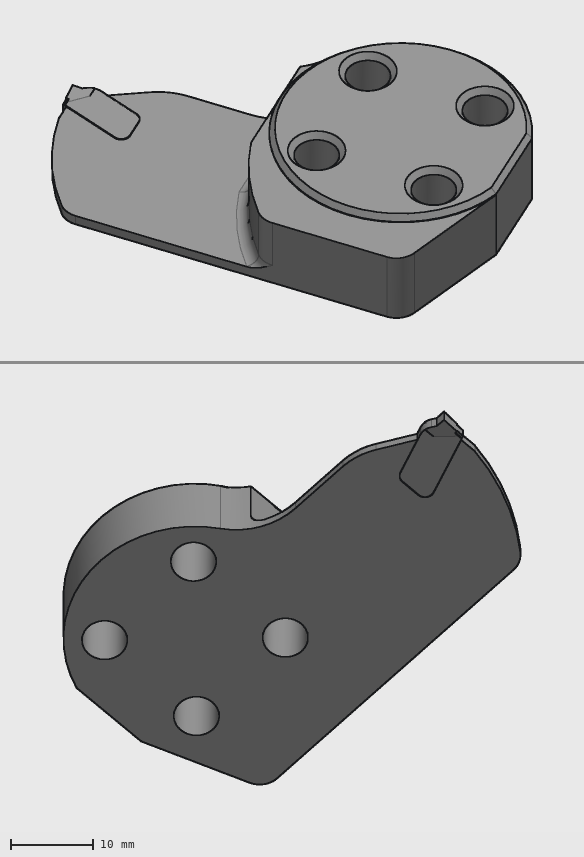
import cadquery as cq
import math


OVERALL_LENGTH = 58.6

BLADE_THICKNESS = 1.4
BLOCK_TOP = 9.9
DISC_TOP = 10.7

DISC_RADIUS = 16.0
DISC_CHAMFER = 0.7
FLANK_ANGLE = math.radians(20)
FLAT_X = DISC_RADIUS * math.cos(FLANK_ANGLE)
FLAT_HALF_LENGTH = DISC_RADIUS * math.sin(FLANK_ANGLE)

HOLE_DIAMETER = 5.5
HOLE_PITCH = 15.5
HOLE_CHAMFER = 0.75
COUNTERSINK_ANGLE = 90

FRONT_Y = -21.0
BACK_Y = 4.15
CORNER_RADIUS = 3.0
NECK_RADIUS = 10.0
SHOULDER_ANGLE = math.radians(30)
SHOULDER_RADIUS = 9.0
SWEEP_RADIUS = 30.0
BLADE_EDGE_X = -42.85
NOSE_TIP_Y = -1.8
NOSE_ARC_START_Y = -5.8
NOSE_CENTER_Y = -0.65
NOSE_CENTER_X = BLADE_EDGE_X + math.sqrt(
    SWEEP_RADIUS**2 - (NOSE_ARC_START_Y - NOSE_CENTER_Y) ** 2
)

BLOCK_FACE_X = -DISC_RADIUS
BLOCK_ARC_START_Y = -8.85
BLOCK_ARC_CENTER_Y = -0.7
BLOCK_ARC_CENTER_X = BLOCK_FACE_X + math.sqrt(
    SWEEP_RADIUS**2 - (BLOCK_ARC_START_Y - BLOCK_ARC_CENTER_Y) ** 2
)
COVE_RADIUS = 1.5
CLEARANCE_MARGIN = 11.7

INSERT_THICKNESS = 1.7
EDGE_WIDTH = 2.0
EDGE_X = FLAT_X - OVERALL_LENGTH
EDGE_Y = 0.05
GROOVE_X = -42.3
HUMP_X = -40.9
HUMP_Y = 0.95
HUMP_RADIUS = 2.0
INSERT_TILT = math.radians(20)
INSERT_END_X = -33.65
INSERT_END_RADIUS = 1.2
NOSE_FOOT_X = -43.35
NOSE_FOOT_Y = -3.35
FOOT_WIDTH = 1.35
FOOT_TOP_Y = -2.3
FOOT_BACK_X = -43.1
HEEL_X = -42.85
HEEL_Y = -3.5
RELIEF_LENGTH = 2.4


def arc_x(center_x, center_y, y):
    """X of the left-hand side of a sweep arc at a given Y."""
    return center_x - math.sqrt(SWEEP_RADIUS**2 - (y - center_y) ** 2)


def nose_x(y):
    return arc_x(NOSE_CENTER_X, NOSE_CENTER_Y, y)


def block_x(y):
    return arc_x(BLOCK_ARC_CENTER_X, BLOCK_ARC_CENTER_Y, y)


def vertical_edge_at(x, y):
    """Selector for the vertical edge nearest to a plan position."""
    return cq.selectors.NearestToPointSelector((x, y, BLOCK_TOP / 2))


def make_holder_blank():
    """Full-height prism with the plan outline of blade, neck and block."""
    flank_length_x = (-FLAT_HALF_LENGTH - FRONT_Y) * math.tan(FLANK_ANGLE)
    front_right_x = FLAT_X - flank_length_x
    front_left_x = nose_x(FRONT_Y)
    nose_mid_y = (FRONT_Y + NOSE_ARC_START_Y) / 2
    shoulder_x = BLADE_EDGE_X + (BACK_Y - NOSE_TIP_Y) / math.tan(SHOULDER_ANGLE)

    neck_center_y = BACK_Y + NECK_RADIUS
    center_distance = DISC_RADIUS + NECK_RADIUS
    neck_center_x = -math.sqrt(center_distance**2 - neck_center_y**2)
    tangent_x = neck_center_x * DISC_RADIUS / center_distance
    tangent_y = neck_center_y * DISC_RADIUS / center_distance
    neck_mid_angle = (math.atan2(-neck_center_y, -neck_center_x) - math.pi / 2) / 2
    neck_mid_x = neck_center_x + NECK_RADIUS * math.cos(neck_mid_angle)
    neck_mid_y = neck_center_y + NECK_RADIUS * math.sin(neck_mid_angle)

    blank = (
        cq.Workplane("XY")
        .moveTo(FLAT_X, -FLAT_HALF_LENGTH)
        .lineTo(front_right_x, FRONT_Y)
        .lineTo(front_left_x, FRONT_Y)
        .threePointArc((nose_x(nose_mid_y), nose_mid_y), (BLADE_EDGE_X, NOSE_ARC_START_Y))
        .lineTo(BLADE_EDGE_X, NOSE_TIP_Y)
        .lineTo(shoulder_x, BACK_Y)
        .lineTo(neck_center_x, BACK_Y)
        .threePointArc((neck_mid_x, neck_mid_y), (tangent_x, tangent_y))
        .threePointArc((0, DISC_RADIUS), (FLAT_X, FLAT_HALF_LENGTH))
        .close()
        .extrude(BLOCK_TOP)
    )
    for corner_x in (front_left_x, front_right_x):
        blank = blank.edges(vertical_edge_at(corner_x, FRONT_Y)).fillet(CORNER_RADIUS)
    return blank.edges(vertical_edge_at(shoulder_x, BACK_Y)).fillet(SHOULDER_RADIUS)


def make_blade_clearance():
    """Space above the blade; its rounded lower rim leaves the cove along the block."""
    left_x = EDGE_X - CLEARANCE_MARGIN
    back_y = DISC_RADIUS + CLEARANCE_MARGIN
    arc_mid_y = (BLOCK_ARC_START_Y + FRONT_Y) / 2
    block_corner_x = block_x(FRONT_Y)
    clearance = (
        cq.Workplane("XY")
        .workplane(offset=BLADE_THICKNESS)
        .moveTo(left_x, back_y)
        .lineTo(BLOCK_FACE_X, back_y)
        .lineTo(BLOCK_FACE_X, BLOCK_ARC_START_Y)
        .threePointArc((block_x(arc_mid_y), arc_mid_y), (block_corner_x, FRONT_Y))
        .lineTo(FLAT_X, FRONT_Y)
        .lineTo(FLAT_X, FRONT_Y - CLEARANCE_MARGIN)
        .lineTo(left_x, FRONT_Y - CLEARANCE_MARGIN)
        .close()
        .extrude(DISC_TOP)
    )
    clearance = clearance.edges(vertical_edge_at(block_corner_x, FRONT_Y)).fillet(CORNER_RADIUS)
    return clearance.faces("<Z").edges().fillet(COVE_RADIUS)


def make_disc():
    """Mounting disc with a flat on the right and a chamfered top rim."""
    flat_cut = cq.Workplane("XY").box(
        CLEARANCE_MARGIN, 2 * DISC_RADIUS, DISC_TOP, centered=(False, True, False)
    )
    return (
        cq.Workplane("XY")
        .circle(DISC_RADIUS)
        .extrude(DISC_TOP)
        .cut(flat_cut.translate((FLAT_X, 0, 0)))
        .faces(">Z")
        .chamfer(DISC_CHAMFER)
    )


def drill_screw_holes(body):
    """Four through holes in a square, chamfered at the top."""
    return (
        body.faces(">Z")
        .workplane(origin=(0, 0, DISC_TOP))
        .rect(HOLE_PITCH, HOLE_PITCH, forConstruction=True)
        .vertices()
        .cskHole(HOLE_DIAMETER, HOLE_DIAMETER + 2 * HOLE_CHAMFER, COUNTERSINK_ANGLE)
    )


def make_insert_prism(width):
    """Insert outline extruded to a width, centred on the blade's mid-plane."""
    slope = math.tan(INSERT_TILT)
    upper_end_y = HUMP_Y - (INSERT_END_X - HUMP_X) * slope
    lower_end_y = HEEL_Y - (INSERT_END_X - HEEL_X) * slope
    outline = [
        (EDGE_X, EDGE_Y),
        (GROOVE_X, EDGE_Y),
        (HUMP_X, HUMP_Y),
        (INSERT_END_X, upper_end_y),
        (INSERT_END_X, lower_end_y),
        (HEEL_X, HEEL_Y),
        (NOSE_FOOT_X, NOSE_FOOT_Y),
    ]
    prism = (
        cq.Workplane("XY")
        .workplane(offset=BLADE_THICKNESS / 2)
        .polyline(outline)
        .close()
        .extrude(width / 2, both=True)
    )
    prism = prism.edges("|Z and >X").fillet(INSERT_END_RADIUS)
    return prism.edges("|Z and >Y").fillet(HUMP_RADIUS)


def make_foot_ledges():
    """Material taken off both sides of the insert at the foot of its nose."""
    mid_z = BLADE_THICKNESS / 2
    offset = (FOOT_WIDTH + CLEARANCE_MARGIN) / 2
    return (
        cq.Workplane("XY")
        .pushPoints([(0, 0, mid_z - offset), (0, 0, mid_z + offset)])
        .box(CLEARANCE_MARGIN, CLEARANCE_MARGIN, CLEARANCE_MARGIN)
        .translate((FOOT_BACK_X - CLEARANCE_MARGIN / 2, FOOT_TOP_Y - CLEARANCE_MARGIN / 2, 0))
    )


def make_insert():
    """Grooving insert whose tip narrows from the cutting edge back to the shank."""
    shank = make_insert_prism(INSERT_THICKNESS)
    corner_plane = cq.Plane(
        origin=(EDGE_X, EDGE_Y, BLADE_THICKNESS / 2), xDir=(1, -1, 0), normal=(-1, -1, 0)
    )
    half_edge = EDGE_WIDTH / 2
    half_shank = INSERT_THICKNESS / 2
    relief = (
        cq.Workplane(corner_plane)
        .polyline(
            [
                (0, half_edge),
                (RELIEF_LENGTH, half_shank),
                (RELIEF_LENGTH, -half_shank),
                (0, -half_edge),
                (-RELIEF_LENGTH, -half_edge),
                (-RELIEF_LENGTH, half_edge),
            ]
        )
        .close()
        .extrude(CLEARANCE_MARGIN, both=True)
    )
    tip_zone = cq.Workplane("XY").box(
        CLEARANCE_MARGIN, 2 * CLEARANCE_MARGIN, CLEARANCE_MARGIN, centered=(False, True, True)
    )
    tip_zone = tip_zone.translate((HUMP_X - CLEARANCE_MARGIN, 0, 0))
    tip = make_insert_prism(EDGE_WIDTH).intersect(relief).intersect(tip_zone)
    return shank.union(tip).cut(make_foot_ledges())


insert = make_insert()
holder = make_holder_blank().cut(make_blade_clearance()).union(make_disc())
holder = drill_screw_holes(holder).cut(insert)

result = cq.Compound.makeCompound([holder.val(), insert.val()])